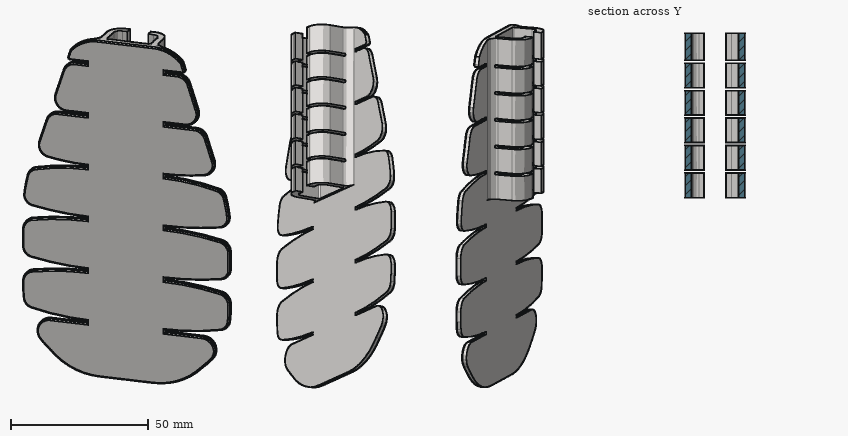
import cadquery as cq
import math

plate_height = 130.0
plate_half_width = 40.0
plate_thickness = 2.0
front_chamfer = 0.5

top_flat_half_width = 11.0
top_arc_radius = 14.0
shoulder_x = 21.6
waist_x, waist_z = 38.1, 75.2
waist_arc_x, waist_arc_z = 39.45, 68.5
side_top_z = 60.7
side_bottom_z = 30.0
hip_x, hip_z = 39.2, 20.7
tail_arc_x, tail_arc_z = 33.2, 11.9
bottom_flat_half_width = 10.5
bottom_arc_radius = 26.0
bottom_arc_end_x = 29.4

slot_pitch = 20.0
slot_width = 1.0
slot_root_x = 15.0
lowest_slot_z = 20.7
straight = None
slots = [
    (straight, 100.0, 5.0, 4.0),
    (110.0, 120.0, 4.5, 4.0),
    (110.0, 120.0, 4.5, 4.0),
    (85.0, 85.0, 4.0, 4.5),
    (straight, straight, 4.5, 4.7),
    (straight, straight, 4.5, 0.9),
]
corner_reach = 3.9
corner_min_x = 18.0

overcut = 1.0

clip_half_width = 11.0
clip_depth = 16.0
clip_length = 60.0
clip_outer_radius = 5.5
cavity_half_width = 8.5
cavity_floor_y = 3.0
cavity_roof_y = 13.0
cavity_roof_radius = 2.5
cavity_floor_radius = 0.5
mouth_half_width = 4.0
clip_root_fillet = 3.0
clip_gap_count = 5
clip_gap_pitch = 10.0
first_clip_gap_drop = 10.4
clip_gap_width = 1.0
clip_gap_floor_y = 3.9

clip_bottom_z = plate_height - clip_length


def front_sketch():
    """Workplane in XZ; extruding a negative distance goes to +Y."""
    return cq.Workplane("XZ")


def mirrored(half):
    """Half body joined with its mirror image across the YZ plane."""
    return half.union(half.mirror("YZ"))


def arc_drop(radius, run):
    """Distance an arc falls from its tangent after a given run."""
    return radius - math.sqrt(radius**2 - run**2)


def plate_blank(thickness):
    top_run = shoulder_x - top_flat_half_width
    shoulder_z = plate_height - arc_drop(top_arc_radius, top_run)
    top_mid_x = top_flat_half_width + top_run / 2
    top_mid_z = plate_height - arc_drop(top_arc_radius, top_run / 2)

    bottom_run = bottom_arc_end_x - bottom_flat_half_width
    bottom_arc_end_z = arc_drop(bottom_arc_radius, bottom_run)
    bottom_mid_x = bottom_flat_half_width + bottom_run / 2
    bottom_mid_z = arc_drop(bottom_arc_radius, bottom_run / 2)

    half = (
        front_sketch()
        .moveTo(0, plate_height)
        .lineTo(top_flat_half_width, plate_height)
        .threePointArc((top_mid_x, top_mid_z), (shoulder_x, shoulder_z))
        .lineTo(waist_x, waist_z)
        .threePointArc((waist_arc_x, waist_arc_z), (plate_half_width, side_top_z))
        .lineTo(plate_half_width, side_bottom_z)
        .lineTo(hip_x, hip_z)
        .threePointArc((tail_arc_x, tail_arc_z), (bottom_arc_end_x, bottom_arc_end_z))
        .threePointArc((bottom_mid_x, bottom_mid_z), (bottom_flat_half_width, 0))
        .lineTo(0, 0)
        .close()
        .extrude(-thickness)
    )
    return mirrored(half)


def slot_cutter(slot_z, lower_radius, upper_radius):
    """Slot pair, each wall straight or flaring outward on an arc tangent to X."""
    mouth_x = plate_half_width + overcut
    run = mouth_x - slot_root_x

    def wall(side, radius):
        """Middle and mouth points of the wall on one side of the slot."""
        root_z = slot_z + side * slot_width / 2
        middle_drop = 0.0
        mouth_drop = 0.0
        if radius is not straight:
            middle_drop = arc_drop(radius, run / 2)
            mouth_drop = arc_drop(radius, run)
        middle = (slot_root_x + run / 2, root_z + side * middle_drop)
        mouth = (mouth_x, root_z + side * mouth_drop)
        return middle, mouth

    def trace(outline, radius, middle, end):
        if radius is straight:
            return outline.lineTo(*end)
        return outline.threePointArc(middle, end)

    lower_middle, lower_mouth = wall(-1, lower_radius)
    upper_middle, upper_mouth = wall(1, upper_radius)
    lower_root = (slot_root_x, slot_z - slot_width / 2)
    upper_root = (slot_root_x, slot_z + slot_width / 2)

    outline = front_sketch().moveTo(*lower_root)
    outline = trace(outline, lower_radius, lower_middle, lower_mouth)
    outline = outline.lineTo(*upper_mouth)
    outline = trace(outline, upper_radius, upper_middle, upper_root)
    return mirrored(outline.close().extrude(-plate_thickness))


def round_rib_corners(plate, z_from, z_to, radius):
    for side in (-1, 1):
        box = cq.selectors.BoxSelector(
            (side * corner_min_x, 0, z_from),
            (side * (plate_half_width + overcut), plate_thickness, z_to),
        )
        plate = plate.edges("|Y").edges(box).fillet(radius)
    return plate


def ribbed_plate():
    plate = plate_blank(plate_thickness)
    for index, (lower_flare, upper_flare, below_radius, above_radius) in enumerate(slots):
        slot_z = lowest_slot_z + index * slot_pitch
        plate = plate.cut(slot_cutter(slot_z, lower_flare, upper_flare))
        plate = round_rib_corners(plate, slot_z - corner_reach, slot_z, below_radius)
        plate = round_rib_corners(plate, slot_z, slot_z + corner_reach, above_radius)
    return plate.faces("<Y").chamfer(front_chamfer)


def clip_sketch():
    return cq.Workplane("XY", origin=(0, 0, clip_bottom_z))


def clip_body():
    height = clip_depth - plate_thickness
    return (
        clip_sketch()
        .center(0, plate_thickness + height / 2)
        .rect(2 * clip_half_width, height)
        .extrude(clip_length)
        .edges("|Z and >Y")
        .fillet(clip_outer_radius)
    )


def clip_root():
    """Concave fillets from clip walls to plate, trimmed to the plate outline."""
    outer_x = clip_half_width + clip_root_fillet
    top_y = plate_thickness + clip_root_fillet
    reach = clip_root_fillet * (1 - math.sqrt(0.5))
    half = (
        clip_sketch()
        .moveTo(clip_half_width, plate_thickness)
        .lineTo(outer_x, plate_thickness)
        .threePointArc(
            (clip_half_width + reach, plate_thickness + reach),
            (clip_half_width, top_y),
        )
        .close()
        .extrude(clip_length)
    )
    return mirrored(half).intersect(plate_blank(clip_depth))


def clip_cavity():
    height = cavity_roof_y - cavity_floor_y
    cavity = (
        clip_sketch()
        .center(0, cavity_floor_y + height / 2)
        .rect(2 * cavity_half_width, height)
        .extrude(clip_length)
        .edges("|Z and >Y")
        .fillet(cavity_roof_radius)
        .edges("|Z and <Y")
        .fillet(cavity_floor_radius)
    )
    mouth_depth = clip_depth - cavity_floor_y
    mouth = (
        clip_sketch()
        .center(0, cavity_floor_y + mouth_depth / 2)
        .rect(2 * mouth_half_width, mouth_depth)
        .extrude(clip_length)
    )
    return cavity.union(mouth)


def clip_gap(gap_z):
    """Cut across both clip walls with a rounded bottom."""
    radius = clip_gap_width / 2
    return (
        cq.Workplane("YZ", origin=(0, 0, gap_z))
        .moveTo(clip_depth, -radius)
        .lineTo(clip_gap_floor_y + radius, -radius)
        .threePointArc((clip_gap_floor_y, 0), (clip_gap_floor_y + radius, radius))
        .lineTo(clip_depth, radius)
        .close()
        .extrude(plate_half_width, both=True)
    )


def clip_gaps():
    gaps = cq.Workplane("XY")
    for index in range(clip_gap_count):
        gaps = gaps.add(clip_gap(plate_height - first_clip_gap_drop - index * clip_gap_pitch))
    return gaps.combine()


clip = clip_body().union(clip_root())
result = ribbed_plate().union(clip).cut(clip_cavity()).cut(clip_gaps())